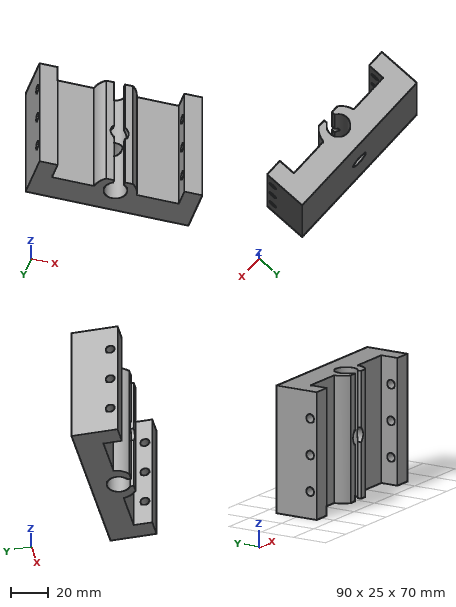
import cadquery as cq
import math

width = 90.0
depth = 25.0
height = 70.0
front_y = -depth / 2
back_y = depth / 2

leg_width = 10.0
web_thickness = 15.0
web_face_y = back_y - web_thickness
channel_half_width = width / 2 - leg_width

bore_diameter = 12.5
bore_y = web_face_y
slot_width = 6.0
tube_projection = 7.5
tube_face_y = web_face_y - tube_projection
tube_radius = 12.0
tube_axis_setback = 2.0
tube_axis_y = web_face_y + tube_axis_setback

cross_hole_diameter = 10.0
leg_hole_diameter = 4.8
leg_hole_setback = 4.0
leg_hole_spacing = 20.0
leg_hole_count = 3


def tube_half_width(y):
    """Half the width of the tube's round outside at the given Y."""
    return math.sqrt(tube_radius**2 - (y - tube_axis_y) ** 2)


def make_body():
    """Extrude the constant cross-section: web, two legs and the solid tube."""
    root_x = tube_half_width(web_face_y)
    face_x = tube_half_width(tube_face_y)
    middle_y = (web_face_y + tube_face_y) / 2
    middle_x = tube_half_width(middle_y)
    return (
        cq.Workplane("XY")
        .workplane(offset=-height / 2)
        .moveTo(-width / 2, back_y)
        .lineTo(-width / 2, front_y)
        .lineTo(-channel_half_width, front_y)
        .lineTo(-channel_half_width, web_face_y)
        .lineTo(-root_x, web_face_y)
        .threePointArc((-middle_x, middle_y), (-face_x, tube_face_y))
        .lineTo(face_x, tube_face_y)
        .threePointArc((middle_x, middle_y), (root_x, web_face_y))
        .lineTo(channel_half_width, web_face_y)
        .lineTo(channel_half_width, front_y)
        .lineTo(width / 2, front_y)
        .lineTo(width / 2, back_y)
        .close()
        .extrude(height)
    )


def make_bore_and_slot():
    """Bore along Z, opened to the front by a narrow slot."""
    slot_depth = bore_y - tube_face_y
    bore = cq.Workplane("XY").center(0, bore_y).circle(bore_diameter / 2).extrude(height / 2, both=True)
    slot = cq.Workplane("XY").box(slot_width, slot_depth, height)
    return bore.union(slot.translate((0, bore_y - slot_depth / 2, 0)))


def make_cross_hole():
    """Hole along Y through the tube and the web."""
    return cq.Workplane("XZ").circle(cross_hole_diameter / 2).extrude(depth / 2, both=True)


def make_leg_holes(leg_start_x):
    """Column of holes along X through the leg whose -X side is at leg_start_x."""
    return (
        cq.Workplane("YZ")
        .workplane(offset=leg_start_x)
        .center(front_y + leg_hole_setback, 0)
        .rarray(1, leg_hole_spacing, 1, leg_hole_count)
        .circle(leg_hole_diameter / 2)
        .extrude(leg_width)
    )


result = make_body().cut(make_bore_and_slot()).cut(make_cross_hole())
for leg_start in (-width / 2, channel_half_width):
    result = result.cut(make_leg_holes(leg_start))